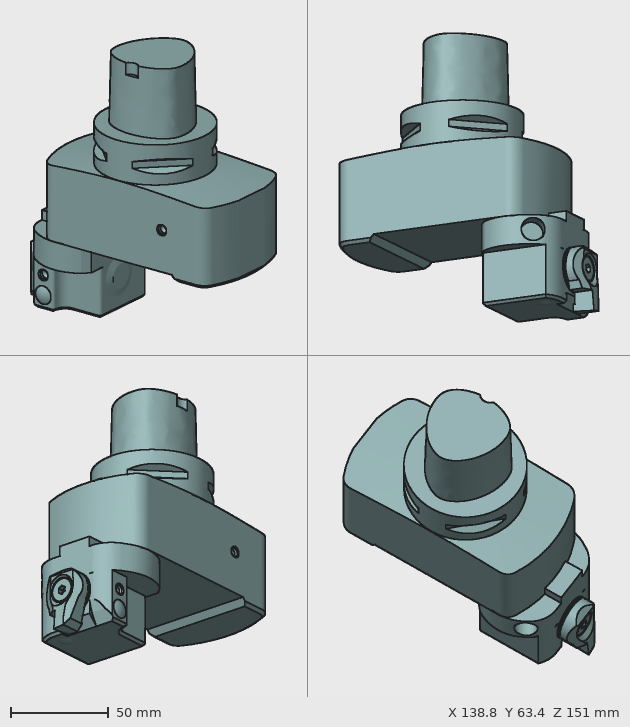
import cadquery as cq
import math


shank_height = 38.0
shank_base_radius = 22.3
shank_top_radius = 21.5
lobe_height = 1.5
shank_curve_points = 48
notch_radius = 5.0
notch_depth = 6.5
notch_center_y = -22.6

flange_radius = 31.48
flange_height = 22.0
groove_floor_distance = 27.3
groove_floor_width = 3.6
groove_mouth_width = 8.2
groove_mid_z = -12.0

housing_half_width = 31.7
housing_bottom_z = -65.7
housing_left_x = -54.8
housing_right_apex_x = 62.7
housing_right_x = 61.8
end_radius = 65.2
corner_radius = 8.2
top_slope = math.radians(5)
pad_height = 3.5
pad_start_x = 34.5
pad_chamfer = 1.8
housing_screw_x = 28.1
housing_screw_z = -42.6
housing_screw_diameter = 6.0

slide_left_x = -64.3
slide_right_x = -23.4
slide_half_width = 31.5
slide_mid_x = -41.0
slide_flat_half_width = 11.5
slide_nose_point = (-60.9, 22.6)
slide_shoulder_left_x = -55.3
slide_shoulder_right_x = -27.0
slide_shoulder_y = 27.2
slide_bottom_z = -108.9
slide_edge_fillet = 2.0
bottom_chamfer = 1.5
ring_height = 15.4
lower_half_width = 23.3

key_length = 15.1
key_top_z = -60.2
key_front_y = -11.3
key_back_y = 8.2

block_flat_end_x = -49.2
block_edge_fillet = 1.7
relief_fillet = 6.0
block_feature_x = -54.4
block_screw_diameter = 6.2
front_plug_z = -100.9
front_plug_diameter = 10.0
front_plug_height = 1.4
bottom_plug_y = 12.5
bottom_plug_diameter = 8.0
bottom_plug_height = 0.6

pocket_back_y = 7.9
pocket_flat_z = -103.5
pocket_foot_x = -58.9
pocket_break_x = -62.5
pocket_break_z = -102.4
pocket_top_z = -96.2
pocket_margin = 1.5

ring_hole_diameter = 12.1
ring_hole_depth = 9.0
ring_hole_angle = math.radians(56)
ring_hole_z = -73.2

insert_z = -89.8
insert_diameter = 24.0
insert_back_x = -65.8
seat_chamfer = 0.6
rear_cap_height = 1.4
rear_cap_base_radius = 11.0
rear_cap_tip_radius = 6.8
insert_front_x = -77.0
insert_tip_z = -113.0
blade_overhang = 0.8
flare_length = 4.2
flare_growth = 4.2
blade_end_outline = [
    (12.0, insert_z),
    (7.4, -102.1),
    (1.8, -102.1),
    (1.8, insert_tip_z),
    (0, -112.5),
    (-4.1, -111.9),
    (-7.1, -108.4),
    (-9.0, -100.9),
    (-12.0, insert_z),
]
blade_side_outline = [
    (insert_back_x, -77.8),
    (insert_back_x, -108.1),
    (insert_back_x + blade_overhang, -108.1),
    (insert_back_x + blade_overhang, -112.0),
    (insert_front_x, insert_tip_z),
    (-76.5, -107.7),
    (-76.0, -100.5),
    (-74.0, -93.6),
    (-73.5, -89.1),
    (-73.8, -81.1),
    (-70.2, -77.8),
]
insert_plan_outline = [
    (insert_back_x + blade_overhang, -12.1),
    (-70.2, -12.1),
    (-74.6, -7.1),
    (-76.5, -4.1),
    (insert_front_x, 1.8),
    (-75.0, 4.7),
    (-70.2, 12.1),
    (insert_back_x + blade_overhang, 12.1),
]

screw_face_x = -72.8
screw_head_diameter = 13.6
screw_head_length = 4.5
screw_head_chamfer = 0.6
screw_shank_diameter = 8.0
screw_end_x = -51.3
socket_corner_diameter = 4.7
socket_depth = 2.9

set_screw_chamfer = 0.6
set_screw_depth = 2.3
set_screw_tip_diameter = 1.0


def along_x(x, y, z):
    """Workplane at the given point whose normal is +X."""
    return cq.Workplane("YZ", origin=(x, y, z))


def shank_curve(radius):
    """Points of a closed three-lobed curve with one lobe toward +Y and a flank toward -Y."""
    points = []
    for i in range(shank_curve_points):
        angle = 2 * math.pi * i / shank_curve_points
        reach = radius - lobe_height * math.sin(3 * angle)
        reach_slope = -3 * lobe_height * math.cos(3 * angle)
        x = reach * math.cos(angle) - reach_slope * math.sin(angle)
        y = reach * math.sin(angle) + reach_slope * math.cos(angle)
        points.append((x, y))
    return points


def make_shank():
    shank = (
        cq.Workplane("XY")
        .spline(shank_curve(shank_base_radius), periodic=True).close()
        .workplane(offset=shank_height)
        .spline(shank_curve(shank_top_radius), periodic=True).close()
        .loft(ruled=True)
    )
    notch = (
        cq.Workplane("XY", origin=(0, notch_center_y, shank_height - notch_depth))
        .circle(notch_radius).extrude(notch_depth)
    )
    return shank.cut(notch)


def make_flange():
    flange = cq.Workplane("XY").circle(flange_radius).extrude(-flange_height)
    floor_half = groove_floor_width / 2
    mouth_half = groove_mouth_width / 2
    groove = (
        cq.Workplane("XZ", origin=(0, 0, groove_mid_z))
        .polyline([
            (groove_floor_distance, -floor_half),
            (flange_radius, -mouth_half),
            (flange_radius, mouth_half),
            (groove_floor_distance, floor_half),
        ])
        .close().extrude(flange_radius, both=True)
    )
    for angle in (45, 135, 225, 315):
        flange = flange.cut(groove.rotate((0, 0, 0), (0, 0, 1), angle))
    return flange


def housing_prism(bottom_z, top_z):
    """Prism over the housing plan: straight sides, bowed ends and rounded corners."""
    sagitta = end_radius - math.sqrt(end_radius**2 - housing_half_width**2)
    left_corner_x = housing_left_x + sagitta
    right_corner_x = housing_right_apex_x - sagitta
    prism = (
        cq.Workplane("XY", origin=(0, 0, bottom_z))
        .moveTo(left_corner_x, -housing_half_width)
        .lineTo(right_corner_x, -housing_half_width)
        .threePointArc((housing_right_apex_x, 0), (right_corner_x, housing_half_width))
        .lineTo(left_corner_x, housing_half_width)
        .threePointArc((housing_left_x, 0), (left_corner_x, -housing_half_width))
        .close().extrude(top_z - bottom_z)
        .edges("|Z").fillet(corner_radius)
    )
    crown = (
        cq.Workplane("XY", origin=(0, 0, bottom_z))
        .moveTo(housing_right_x, -housing_half_width)
        .lineTo(housing_right_apex_x, -housing_half_width)
        .lineTo(housing_right_apex_x, housing_half_width)
        .lineTo(housing_right_x, housing_half_width)
        .close().extrude(top_z - bottom_z)
    )
    return prism.cut(crown)


def set_screw_hole(diameter):
    """Cutter with its mouth at the origin, going toward -Z, with a rim chamfer and a pointed end."""
    mouth = diameter / 2
    wall = mouth - set_screw_chamfer
    tip = set_screw_tip_diameter / 2
    return (
        cq.Workplane("XZ")
        .polyline([
            (0, 0),
            (mouth, 0),
            (wall, -set_screw_chamfer),
            (wall, -set_screw_depth),
            (tip, -set_screw_depth - (wall - tip)),
            (0, -set_screw_depth - (wall - tip)),
        ])
        .close().revolve(360, (0, 0), (0, 1))
    )


def set_screw_hole_in_front(diameter, x, y, z):
    """Set-screw hole going in toward +Y."""
    return set_screw_hole(diameter).rotate((0, 0, 0), (1, 0, 0), 90).translate((x, y, z))


def make_pad():
    """Raised foot under the right end of the housing, with a bevelled inner edge."""
    top = housing_bottom_z
    bottom = housing_bottom_z - pad_height
    pad = housing_prism(bottom, top)
    keep = (
        cq.Workplane("XZ")
        .polyline([
            (pad_start_x, top),
            (pad_start_x + pad_height, bottom),
            (2 * housing_right_x, bottom),
            (2 * housing_right_x, top),
        ])
        .close().extrude(2 * housing_half_width, both=True)
    )
    return pad.faces("<Z").chamfer(pad_chamfer).intersect(keep)


def make_housing():
    block = housing_prism(housing_bottom_z, -flange_height)
    cone_radius = 2 * housing_half_width + flange_radius
    cone_drop = (cone_radius - flange_radius) * math.tan(top_slope)
    top_cone = (
        cq.Workplane("XZ")
        .polyline([
            (0, housing_bottom_z),
            (cone_radius, housing_bottom_z),
            (cone_radius, -flange_height - cone_drop),
            (flange_radius, -flange_height),
            (0, -flange_height),
        ])
        .close().revolve(360, (0, 0), (0, 1))
    )
    housing = block.intersect(top_cone).union(make_pad()).union(make_flange()).union(make_shank())
    return housing.cut(set_screw_hole_in_front(
        housing_screw_diameter, housing_screw_x, -housing_half_width, housing_screw_z
    ))


def slide_plan(height):
    """Prism over the slide plan, going down from the housing bottom."""
    half = (
        cq.Workplane("XY", origin=(0, 0, housing_bottom_z))
        .moveTo(slide_left_x, 0)
        .lineTo(slide_left_x, slide_flat_half_width)
        .threePointArc(slide_nose_point, (slide_shoulder_left_x, slide_shoulder_y))
        .threePointArc((slide_mid_x, slide_half_width), (slide_shoulder_right_x, slide_shoulder_y))
        .lineTo(slide_right_x, lower_half_width)
        .lineTo(slide_right_x, 0)
        .close().extrude(-height)
    )
    return half.union(half.mirror("XZ"))


def make_lower_slide():
    """Narrow part below the ring, stepped back beside a block at its front left corner."""
    height = housing_bottom_z - slide_bottom_z
    block_wall_x = block_flat_end_x + block_edge_fillet
    relief_y = block_edge_fillet + relief_fillet - lower_half_width
    plan = (
        cq.Workplane("XY", origin=(0, 0, slide_bottom_z))
        .moveTo(slide_left_x, lower_half_width)
        .lineTo(slide_left_x, -lower_half_width)
        .lineTo(block_flat_end_x, -lower_half_width)
        .radiusArc((block_wall_x, block_edge_fillet - lower_half_width), -block_edge_fillet)
        .radiusArc((block_wall_x + relief_fillet, relief_y), relief_fillet)
        .lineTo(slide_right_x, relief_y)
        .lineTo(slide_right_x, lower_half_width)
        .close().extrude(height)
        .edges("|Z and >X").fillet(slide_edge_fillet)
    )
    return slide_plan(height).intersect(plan).faces("<Z").edges().chamfer(bottom_chamfer)


def make_key(housing_block):
    """Bar on top of the slide that ends against the bowed end of the housing."""
    key = cq.Workplane("XY").box(
        key_length, key_back_y - key_front_y, key_top_z - housing_bottom_z, centered=False
    )
    return key.translate((slide_left_x, key_front_y, housing_bottom_z)).cut(housing_block)


def pocket_prism(profile, front_y, back_y):
    """Cutter over an XZ profile, reaching from front_y to back_y."""
    return cq.Workplane("XZ", origin=(0, back_y, 0)).polyline(profile).close().extrude(back_y - front_y)


def make_clearance_pocket():
    """Bevelled clearance at the foot of the slide, behind the insert blade."""
    outside_x = slide_left_x - pocket_margin
    under = pocket_prism(
        [
            (outside_x, pocket_flat_z),
            (slide_left_x, pocket_flat_z),
            (pocket_foot_x, slide_bottom_z),
            (outside_x, slide_bottom_z),
        ],
        -slide_flat_half_width, pocket_back_y,
    )
    beside = pocket_prism(
        [
            (outside_x, pocket_top_z),
            (slide_left_x, pocket_top_z),
            (pocket_break_x, pocket_break_z),
            (pocket_foot_x, slide_bottom_z),
            (outside_x, slide_bottom_z),
        ],
        -slide_half_width, -slide_flat_half_width,
    )
    return under.union(beside)


def make_ring_hole():
    """Blind hole going into the back left of the ring, across the slide."""
    inward = cq.Vector(math.cos(ring_hole_angle), -math.sin(ring_hole_angle), 0)
    mouth = cq.Vector(slide_shoulder_left_x, slide_shoulder_y, ring_hole_z)
    start = mouth - inward * ring_hole_depth
    return cq.Workplane(cq.Solid.makeCylinder(
        ring_hole_diameter / 2, 2 * ring_hole_depth, start, inward
    ))


def dome_middle(diameter, height):
    """Point halfway along the arc from the rim of a cap to its crown."""
    sphere_radius = ((diameter / 2) ** 2 + height**2) / (2 * height)
    half_angle = math.asin(diameter / 2 / sphere_radius) / 2
    return (
        sphere_radius * math.sin(half_angle),
        height - sphere_radius * (1 - math.cos(half_angle)),
    )


def dome(diameter, height):
    """Shallow spherical cap standing on the XY plane."""
    return (
        cq.Workplane("XZ")
        .lineTo(diameter / 2, 0)
        .threePointArc(dome_middle(diameter, height), (0, height))
        .close().revolve(360, (0, 0), (0, 1))
    )


def make_seat():
    """Round boss that carries the insert."""
    height = slide_left_x - insert_back_x
    return (
        along_x(insert_back_x, 0, insert_z).circle(insert_diameter / 2).extrude(height)
        .faces("<X").chamfer(seat_chamfer)
    )


def make_rear_cap():
    """Tapered cap on the right side of the slide, in line with the insert."""
    return (
        along_x(slide_right_x, 0, insert_z).circle(rear_cap_base_radius)
        .workplane(offset=rear_cap_height).circle(rear_cap_tip_radius).loft(ruled=True)
    )


def make_slide(housing_block, clamp_screw):
    body = (
        slide_plan(ring_height)
        .union(make_lower_slide())
        .union(make_key(housing_block))
        .cut(make_clearance_pocket())
        .cut(make_ring_hole())
        .cut(set_screw_hole_in_front(block_screw_diameter, block_feature_x, -lower_half_width, insert_z))
    )
    front_plug = dome(front_plug_diameter, front_plug_height).rotate((0, 0, 0), (1, 0, 0), 90)
    bottom_plug = dome(bottom_plug_diameter, bottom_plug_height).rotate((0, 0, 0), (1, 0, 0), 180)
    body = (
        body
        .union(front_plug.translate((block_feature_x, -lower_half_width, front_plug_z)))
        .union(bottom_plug.translate((block_feature_x, bottom_plug_y, slide_bottom_z)))
        .union(make_seat())
        .union(make_rear_cap())
    )
    return body.cut(clamp_screw)


def make_screw():
    """Clamping screw with a hexagon socket, along X."""
    head = (
        along_x(screw_face_x, 0, insert_z).circle(screw_head_diameter / 2).extrude(screw_head_length)
        .faces("<X").chamfer(screw_head_chamfer)
    )
    shank = (
        along_x(screw_face_x, 0, insert_z).circle(screw_shank_diameter / 2)
        .extrude(screw_end_x - screw_face_x)
    )
    socket = (
        along_x(screw_face_x, 0, insert_z)
        .polygon(6, socket_corner_diameter).extrude(socket_depth)
        .rotate((0, 0, insert_z), (1, 0, insert_z), 90)
    )
    return head.union(shank).cut(socket)


def make_screw_recess():
    """Space for the screw in the insert, flaring out in front of the head."""
    head_radius = screw_head_diameter / 2
    bore = along_x(screw_face_x, 0, insert_z).circle(head_radius).extrude(screw_head_length)
    flare = (
        along_x(screw_face_x, 0, insert_z).circle(head_radius)
        .workplane(offset=-flare_length).circle(head_radius + flare_growth).loft(ruled=True)
    )
    through = (
        along_x(screw_face_x, 0, insert_z).circle(screw_shank_diameter / 2)
        .extrude(insert_back_x - screw_face_x + blade_overhang)
    )
    return bore.union(flare).union(through)


def make_insert():
    """Round insert head with one blade hanging down: the overlap of its three outlines."""
    radius = insert_diameter / 2
    depth = insert_back_x - insert_front_x + blade_overhang
    head = along_x(insert_front_x, 0, insert_z).circle(radius).extrude(depth)
    blade = along_x(insert_front_x, 0, 0).polyline(blade_end_outline).close().extrude(depth)
    side = cq.Workplane("XZ").polyline(blade_side_outline).close().extrude(radius, both=True)
    plan = (
        cq.Workplane("XY", origin=(0, 0, insert_tip_z)).polyline(insert_plan_outline)
        .close().extrude(insert_z + radius - insert_tip_z)
    )
    return head.union(blade).intersect(side).intersect(plan).cut(make_screw_recess())


housing = make_housing()
screw = make_screw()
slide = make_slide(housing, screw)
insert = make_insert()

result = cq.Compound.makeCompound([housing.val(), slide.val(), insert.val(), screw.val()])